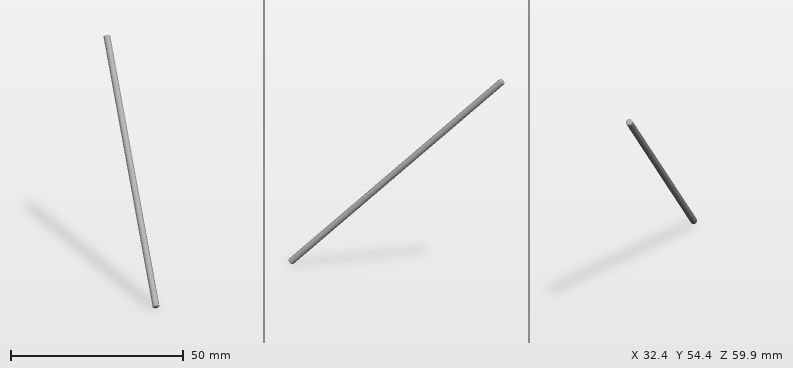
import cadquery as cq

diameter = 2.0
chamfer = 0.25

run_x = 30.7
run_y = 53.2
run_z = 58.8

axis = cq.Vector(run_x, -run_y, -run_z)
upper_end = axis * -0.5

end_plane = cq.Plane(origin=upper_end, normal=axis)
pin = cq.Workplane(end_plane).circle(diameter / 2).extrude(axis.Length)

result = pin.faces("%Plane").edges().chamfer(chamfer)